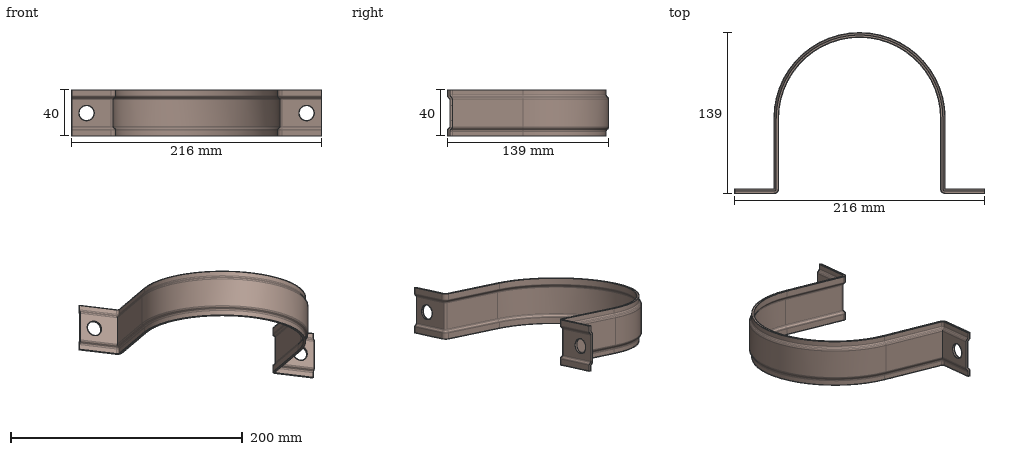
import cadquery as cq
import math

span = 216.0
strap_width = 40.0
sheet = 2.0
inner_radius = 70.0
leg_drop = 65.0

rim_width = 5.8
ramp_run = sheet
inner_blend = 1.0
outer_blend = 2.0

hole_diameter = 13.0
hole_end_distance = 13.0

half_span = span / 2
depth = 2 * sheet
outer_radius = inner_radius + depth
bend_x = outer_radius
bend_y = depth - leg_drop
foot_length = half_span - bend_x
leg_length = -bend_y
rim_edge = strap_width / 2
inner_rim_end = rim_edge - rim_width
ramp_angle = math.atan2(sheet, ramp_run)
ramp_shift = sheet * math.tan(ramp_angle / 2)
outer_rim_end = inner_rim_end + ramp_shift


def face_points(level, rim_end):
    """Corners along one face of the strap from the -Z edge to the +Z edge."""
    upper = [
        (level + sheet, rim_end - ramp_run),
        (level, rim_end),
        (level, rim_edge),
    ]
    lower = [(out, -z) for out, z in reversed(upper)]
    return lower + upper


def strap_section():
    """Closed wire of the cross-section: X from inner to outer face, Y across the width."""
    inner = face_points(0, inner_rim_end)
    outer = face_points(sheet, outer_rim_end)
    slice_length = 2.2
    strap_slice = cq.Workplane("XY").polyline(inner + outer[::-1]).close().extrude(slice_length)
    for points, radius in ((inner, inner_blend), (outer, outer_blend)):
        ramp_corners = points[1:-1]
        for out, z in ramp_corners:
            nearest = cq.selectors.NearestToPointSelector((out, z, slice_length / 2))
            strap_slice = strap_slice.edges("|Z").edges(nearest).fillet(radius)
    return strap_slice.faces("<Z").wires().val()


section = strap_section()


def placed(origin, outward):
    """Section moved to origin, with its outer face looking along outward and its width along Z."""
    normal = cq.Vector(*outward).cross(cq.Vector(0, 0, 1))
    return section.moved(cq.Plane(origin, outward, normal).location)


def straight(origin, outward, run):
    """Strap run in a straight line along the vector run."""
    return cq.Solid.extrudeLinear(placed(origin, outward), [], cq.Vector(*run))


def turned(origin, outward, angle, centre):
    """Strap turned by angle degrees about the Z-parallel axis through centre."""
    start = cq.Vector(*centre)
    return cq.Solid.revolve(placed(origin, outward), [], angle, start, start + cq.Vector(0, 0, 2.2))


saddle = turned((inner_radius, 0, 0), (1, 0, 0), 180, (0, 0, 0))
leg = straight((inner_radius, 0, 0), (1, 0, 0), (0, -leg_length, 0))
bend = turned((inner_radius, bend_y, 0), (1, 0, 0), 90, (bend_x, bend_y, 0))
foot = straight((bend_x, -leg_drop, 0), (0, 1, 0), (foot_length, 0, 0))
side = cq.Workplane(leg).union(cq.Workplane(bend)).union(cq.Workplane(foot))

hole_x = half_span - hole_end_distance
holes = (
    cq.Workplane("XZ", origin=(0, -leg_drop, 0))
    .pushPoints([(-hole_x, 0), (hole_x, 0)])
    .circle(hole_diameter / 2)
    .extrude(-depth)
)

result = cq.Workplane(saddle).union(side).union(side.mirror("YZ")).cut(holes)